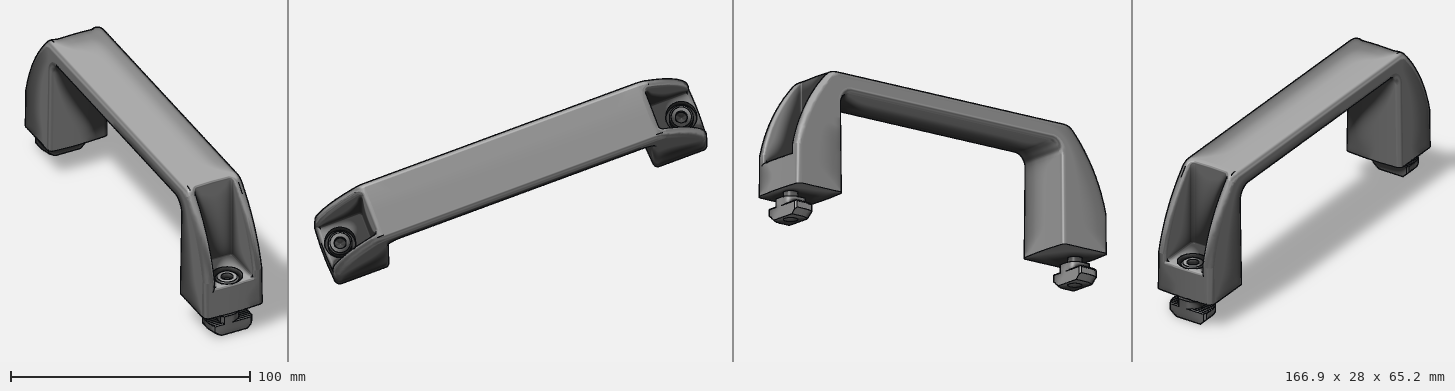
import cadquery as cq
import math

length = 166.89
width = 28.0
height = 53.53
crown_radius = 130.0
side_draft = 1.0
edge_radius = 2.5
grip_edge_radius = 2.2
end_face_height = 17.4
shoulder_lean = 12.0
shoulder_turn = 31.0
crest_radius = 6.8
leg_depth = 25.1
grip_thickness = 9.4
opening_radius = 5.0

pocket_floor = 14.0
pocket_width = 18.0
pocket_wall_inset = 20.5
pocket_corner_radius = 1.5
pocket_floor_radius = 0.8
pocket_lip_radius = 1.4

screw_spacing = 152.0
counterbore_diameter = 13.0
counterbore_depth = 6.5
clearance_diameter = 6.2
head_diameter = 10.0
head_height = 6.0
head_chamfer = 0.75
socket_diameter = 5.0
socket_depth = 2.5
socket_point_depth = 1.4
shank_diameter = 6.0

nut_top = -2.8
nut_width = 9.8
nut_length = 19.0
neck_height = 3.2
neck_corner_chamfer = 1.2
flange_height = 5.7
flange_bottom_chamfer = 2.5
flange_corner_chamfer = 0.8
serration_count = 8
serration_depth = 0.5

end_x = length / 2
side_y = width / 2
leg_inner_x = end_x - leg_depth
opening_top = height - grip_thickness
back_wall_x = end_x - pocket_wall_inset
screw_x = screw_spacing / 2
head_bottom = pocket_floor - counterbore_depth
flange_top = nut_top - neck_height
nut_bottom = flange_top - flange_height
margin = 20.0
rim_depth = 3.0
sweep_half_width = side_y + 2.0
arc_overrun = 5.0
tolerance = 0.01

crest_lean = shoulder_lean + shoulder_turn
crest_rise = crest_radius * (1 - math.sin(math.radians(crest_lean)))
shoulder_rise = math.sin(math.radians(crest_lean)) - math.sin(math.radians(shoulder_lean))
shoulder_radius = (height - end_face_height - crest_rise) / shoulder_rise


def crown_drop(y):
    """How far a crowned face has fallen away from its crest at distance y from the middle."""
    return crown_radius - math.sqrt(crown_radius**2 - y**2)


def arc_point(start, radius, lean, turn):
    """Point reached from `start` on an arc that first leans `lean` degrees inward and turns by `turn`."""
    chord = 2 * radius * math.sin(math.radians(turn / 2))
    chord_lean = math.radians(lean + turn / 2)
    return start[0] + chord * math.sin(chord_lean), start[1] + chord * math.cos(chord_lean)


def cylinder(x, bottom, diameter, tall):
    return cq.Workplane("XY", origin=(x, 0, bottom)).circle(diameter / 2).extrude(tall)


def crowned_sweep(path, start, lean, crest_side, depth):
    """Sweep a strip with a crown-shaped front along an XZ path that starts `lean` degrees off upright.

    The strip reaches from the crown to `depth` on the -X side of the path. The middle of the crown
    bulges to the -X side when crest_side is -1 and to the +X side when it is 1.
    """
    dx = math.sin(math.radians(lean))
    dz = math.cos(math.radians(lean))
    plane = cq.Plane(origin=(start[0], 0, start[1]), xDir=(-dz, 0, dx), normal=(dx, 0, dz))
    rim = crest_side * crown_drop(sweep_half_width)
    section = (
        cq.Workplane(plane)
        .moveTo(rim, -sweep_half_width)
        .threePointArc((0, 0), (rim, sweep_half_width))
        .lineTo(depth, sweep_half_width)
        .lineTo(depth, -sweep_half_width)
        .close()
    )
    return section.sweep(path)


def end_cutter():
    """Everything outside the upright, crowned end face."""
    start = (-end_x, -margin)
    path = cq.Workplane("XZ").moveTo(*start).lineTo(-end_x, height + margin)
    return crowned_sweep(path, start, 0, -1, margin)


def shoulder_cutter():
    """Everything outside the crowned shoulder, crest and top."""
    shoulder_foot = (-end_x, end_face_height)
    start = arc_point(shoulder_foot, shoulder_radius, shoulder_lean, -arc_overrun)
    shoulder_middle = arc_point(shoulder_foot, shoulder_radius, shoulder_lean, shoulder_turn / 2)
    shoulder_end = arc_point(shoulder_foot, shoulder_radius, shoulder_lean, shoulder_turn)
    crest_turn = 90 - crest_lean
    crest_middle = arc_point(shoulder_end, crest_radius, crest_lean, crest_turn / 2)
    crest_end = arc_point(shoulder_end, crest_radius, crest_lean, crest_turn)
    path = (
        cq.Workplane("XZ")
        .moveTo(*start)
        .threePointArc(shoulder_middle, shoulder_end)
        .threePointArc(crest_middle, crest_end)
        .lineTo(0, height)
    )
    return crowned_sweep(path, start, shoulder_lean - arc_overrun, -1, margin)


def opening_cutter():
    """Hand opening, less the crowned strip along the leg and the underside of the grip."""
    start = (-leg_inner_x, -margin)
    corner_start = (-leg_inner_x, opening_top - opening_radius)
    path = (
        cq.Workplane("XZ")
        .moveTo(*start)
        .lineTo(*corner_start)
        .threePointArc(
            arc_point(corner_start, opening_radius, 0, 45),
            arc_point(corner_start, opening_radius, 0, 90),
        )
        .lineTo(0, opening_top)
    )
    rim = crowned_sweep(path, start, 0, 1, rim_depth)
    opening = (
        cq.Workplane("XZ")
        .rect(2 * (leg_inner_x + rim_depth), 2 * (opening_top + rim_depth))
        .extrude(sweep_half_width, both=True)
        .edges("|Y and >Z and <X")
        .fillet(opening_radius + rim_depth)
    )
    return opening.cut(rim)


def is_long_edge(edge):
    """True away from the foot and from the plane where the two halves join."""
    box = edge.BoundingBox()
    return box.zmax > tolerance and box.xmin < -tolerance


def is_opening_edge(edge):
    middle = edge.positionAt(0.5)
    return middle.x > -leg_inner_x - rim_depth and middle.z < opening_top + rim_depth


def half_blank():
    """Left half of the handle before its pocket and screw hole."""
    lean_in = height * math.tan(math.radians(side_draft))
    top_y = side_y - lean_in
    blank = (
        cq.Workplane("YZ")
        .polyline([(-side_y, 0), (side_y, 0), (top_y, height), (-top_y, height)])
        .close()
        .extrude(-end_x)
        .cut(opening_cutter())
        .cut(end_cutter())
        .cut(shoulder_cutter())
    )
    opening_edges = blank.faces("<Y or >Y").edges().filter(is_long_edge).filter(is_opening_edge)
    blank = opening_edges.fillet(grip_edge_radius)
    side_edges = blank.faces("<Y or >Y").edges().filter(is_long_edge)
    outer_edges = side_edges.filter(lambda edge: not is_opening_edge(edge))
    return outer_edges.fillet(edge_radius)


def pocket_cutter():
    """Room for the screw head, open to the end face and the top."""
    reach = pocket_wall_inset + margin
    return (
        cq.Workplane("XY", origin=(-back_wall_x - reach / 2, 0, pocket_floor))
        .rect(reach, pocket_width)
        .extrude(height)
        .edges("|Z and >X")
        .fillet(pocket_corner_radius)
    )


def pocket_floor_fillet():
    """Rounded strip where the floor meets the walls, up to the start of the lip."""
    pocket = pocket_cutter()
    strip = pocket.cut(pocket.faces("<Z").edges("not <X").fillet(pocket_floor_radius))
    lip_end_x = end_x - crown_drop(pocket_width / 2) - pocket_lip_radius
    behind_lip = cq.Workplane("XY").rect(2 * lip_end_x, width).extrude(height)
    return strip.intersect(behind_lip)


def screw_hole():
    counterbore = cylinder(-screw_x, head_bottom, counterbore_diameter, counterbore_depth)
    return counterbore.union(cylinder(-screw_x, 0, clearance_diameter, pocket_floor))


def build_handle():
    blank = half_blank()
    pocket = pocket_cutter()
    outer_skin = blank.shells().val()
    pocket_skin = pocket.shells().val()

    def is_pocket_mouth(edge):
        """True for the rim where the pocket breaks through the outer skin."""
        middle = cq.Vertex.makeVertex(*edge.positionAt(0.5).toTuple())
        return max(middle.distance(outer_skin), middle.distance(pocket_skin)) < tolerance

    half = (
        blank.cut(pocket)
        .edges()
        .filter(is_pocket_mouth)
        .fillet(pocket_lip_radius)
        .union(pocket_floor_fillet())
        .cut(screw_hole())
    )
    return half.union(half.mirror("YZ"))


def build_screw(x):
    """Cap screw with a pointed socket, its shank ending flush with the bottom of the nut."""
    head = cylinder(x, head_bottom, head_diameter, head_height).faces(">Z").edges().chamfer(head_chamfer)
    shank = cylinder(x, nut_bottom, shank_diameter, head_bottom - nut_bottom)
    socket_radius = socket_diameter / 2
    socket_outline = [
        (0, 0),
        (socket_radius, 0),
        (socket_radius, -socket_depth),
        (0, -socket_depth - socket_point_depth),
    ]
    socket = (
        cq.Workplane("XZ", origin=(x, 0, head_bottom + head_height))
        .polyline(socket_outline)
        .close()
        .revolve(360, (0, 0), (0, 1))
    )
    return head.union(shank).cut(socket)


def nut_neck(x):
    """Square neck with two opposite quadrants round, so that the nut can turn in its slot."""
    half = nut_width / 2
    diagonal = half * math.sqrt(0.5)
    return (
        cq.Workplane("XY", origin=(x, 0, nut_top))
        .moveTo(half, 0)
        .threePointArc((diagonal, diagonal), (0, half))
        .lineTo(-half + neck_corner_chamfer, half)
        .lineTo(-half, half - neck_corner_chamfer)
        .lineTo(-half, 0)
        .threePointArc((-diagonal, -diagonal), (0, -half))
        .lineTo(half - neck_corner_chamfer, -half)
        .lineTo(half, -half + neck_corner_chamfer)
        .close()
        .extrude(-neck_height - serration_depth)
    )


def nut_flange(x):
    """Long foot of the nut: each end is half flat and half round, with a serrated top."""
    half = nut_width / 2
    end = nut_length / 2
    arc_angle = math.asin(half / end)
    arc_end_y = end * math.cos(arc_angle)
    arc_middle_x = end * math.sin(arc_angle / 2)
    arc_middle_y = end * math.cos(arc_angle / 2)
    block = (
        cq.Workplane("XY", origin=(x, 0, nut_bottom))
        .moveTo(half, -arc_end_y)
        .lineTo(half, end)
        .lineTo(0, end)
        .threePointArc((-arc_middle_x, arc_middle_y), (-half, arc_end_y))
        .lineTo(-half, -end)
        .lineTo(0, -end)
        .threePointArc((arc_middle_x, -arc_middle_y), (half, -arc_end_y))
        .close()
        .extrude(flange_height)
        .faces("<Z").edges("not |Y")
        .chamfer(flange_bottom_chamfer)
    )
    cut_corners = (
        cq.Workplane("XY", origin=(x, 0, nut_bottom))
        .rect(nut_width, nut_length)
        .extrude(flange_height)
        .edges("|Z")
        .chamfer(flange_corner_chamfer)
    )
    flange = block.intersect(cut_corners)

    pitch = nut_width / serration_count
    for index in range(serration_count + 1):
        groove = (
            cq.Workplane("XZ", origin=(x - half + index * pitch, 0, flange_top))
            .polyline([(-pitch / 2, 0), (pitch / 2, 0), (0, -serration_depth)])
            .close()
            .extrude(nut_length, both=True)
        )
        flange = flange.cut(groove)
    return flange


def build_nut(x):
    hole = cylinder(x, nut_bottom, shank_diameter, nut_top - nut_bottom)
    return nut_neck(x).union(nut_flange(x)).cut(hole)


handle = build_handle()
screws = [build_screw(x) for x in (-screw_x, screw_x)]
nuts = [build_nut(x) for x in (-screw_x, screw_x)]

result = cq.Compound.makeCompound([body.val() for body in (handle, *screws, *nuts)])